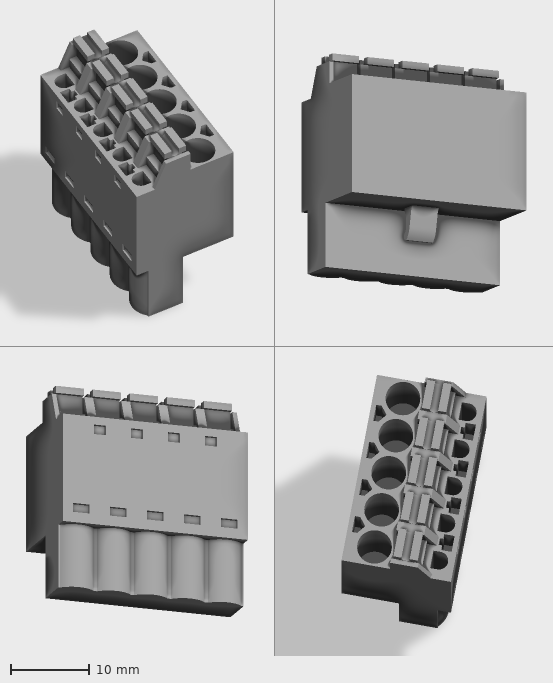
import cadquery as cq


pole_count = 5
pitch = 5.0
width = pole_count * pitch
pole_xs = [(i - (pole_count - 1) / 2) * pitch for i in range(pole_count)]
gap_xs = [(i - (pole_count - 2) / 2) * pitch for i in range(pole_count - 1)]

depth = 14.2
total_height = 27.73
front_height = 14.33
rear_height = 15.37
ridge_height = 18.23
ridge_foot_y = 2.63
ridge_front_y = 4.3
ridge_rear_y = 7.9

lever_width = 3.8
lever_top = 19.37
head_front_y = 4.42
head_rear_y = 7.58
head_underside = 18.44
neck_front_y = 4.97
neck_rear_y = 6.96
foot_front_y = 3.9
foot_rear_y = ridge_rear_y
foot_height = 15.8
screw_slot_width = 1.06
screw_slot_depth = 1.09
screw_slot_y = (head_front_y + head_rear_y) / 2

plug_length = total_height - lever_top
plug_rear_y = 6.76
plug_flat_y = 1.72
lobe_front_y = 0.74
lobe_width = 4.53

hook_width = lever_width
hook_root_front_y = 8.12
hook_root_rear_y = 10.39
hook_root_z = -0.25
hook_waist_y = 8.57
hook_waist_top_z = -1.15
hook_waist_bottom_z = -2.6
hook_tip_z = -4.2
hook_tip_front_y = 8.3
hook_tip_rear_y = 8.69
hook_throat_middle = (8.49, -2.93)
hook_throat_end = (8.25, -3.15)
hook_nose = (8.03, -3.62)
hook_back_curve_middle = (9.26, -3.5)
hook_back_curve_end = (9.61, -2.5)
hook_root_curve_start = (10.03, -0.62)
hook_root_curve_middle = (10.15, -0.3)

round_hole_diameter = 4.43
round_hole_y = 10.38
round_hole_depth = 10.0
wire_hole_width = 2.35
wire_hole_rear_y = 2.96
wire_hole_arc_y = 2.02
wire_hole_depth = 10.0
small_pocket_width = 2.14
small_pocket_depth = 5.0
test_slot_front_y = 0.65
test_slot_shoulder_y = 2.0
test_slot_rear_y = 2.44
test_slot_stem_width = 0.88
pentagon_tip_y = 12.05
pentagon_shoulder_y = 12.88
pentagon_rear_y = 13.58

window_depth = 0.5
upper_window_width = 1.6
upper_window_bottom = 12.02
upper_window_top = 13.28
lower_window_width = 2.25
lower_window_bottom = 1.36
lower_window_top = 2.54


def box(x_centre, x_size, y_range, z_range):
    """Box centred on x_centre, spanning the given Y and Z ranges."""
    size_y = y_range[1] - y_range[0]
    size_z = z_range[1] - z_range[0]
    solid = cq.Workplane("XY").box(x_size, size_y, size_z, centered=(True, False, False))
    return solid.translate((x_centre, y_range[0], z_range[0]))


def extrude_across(profile, x_centre, x_size):
    """Extrude a closed YZ profile along X, centred on x_centre."""
    return profile.extrude(x_size / 2, both=True).translate((x_centre, 0, 0))


def make_block():
    """Main block with the raised sloping ridge along its top."""
    profile = cq.Workplane("YZ").polyline([
        (0, 0),
        (depth, 0),
        (depth, rear_height),
        (ridge_rear_y, rear_height),
        (ridge_rear_y, ridge_height),
        (ridge_front_y, ridge_height),
        (ridge_foot_y, front_height),
        (0, front_height),
    ]).close()
    return extrude_across(profile, 0, width)


def make_plug():
    """Plug bar with one rounded lobe per pole on its front."""
    plug = box(0, width, (plug_flat_y, plug_rear_y), (-plug_length, 0))
    for x in pole_xs:
        lobe = (
            cq.Workplane("XY")
            .moveTo(x - lobe_width / 2, plug_flat_y)
            .threePointArc((x, lobe_front_y), (x + lobe_width / 2, plug_flat_y))
            .close()
            .extrude(-plug_length)
        )
        plug = plug.union(lobe)
    return plug


def make_hook():
    """Curved latch hook hanging behind the plug bar."""
    profile = (
        cq.Workplane("YZ")
        .moveTo(hook_root_front_y, 0)
        .lineTo(hook_root_front_y, hook_root_z)
        .lineTo(hook_waist_y, hook_waist_top_z)
        .lineTo(hook_waist_y, hook_waist_bottom_z)
        .threePointArc(hook_throat_middle, hook_throat_end)
        .threePointArc(hook_nose, (hook_tip_front_y, hook_tip_z))
        .lineTo(hook_tip_rear_y, hook_tip_z)
        .threePointArc(hook_back_curve_middle, hook_back_curve_end)
        .lineTo(*hook_root_curve_start)
        .threePointArc(hook_root_curve_middle, (hook_root_rear_y, 0))
        .close()
    )
    return extrude_across(profile, 0, hook_width)


def wire_hole(x):
    """Wire entry: square at the rear, half round at the front."""
    radius = wire_hole_width / 2
    return (
        cq.Workplane("XY", origin=(0, 0, front_height))
        .moveTo(x - radius, wire_hole_arc_y)
        .threePointArc((x, wire_hole_arc_y - radius), (x + radius, wire_hole_arc_y))
        .lineTo(x + radius, wire_hole_rear_y)
        .lineTo(x - radius, wire_hole_rear_y)
        .close()
        .extrude(-wire_hole_depth)
    )


def round_hole(x):
    """Large round opening behind the ridge."""
    return (
        cq.Workplane("XY", origin=(x, round_hole_y, rear_height))
        .circle(round_hole_diameter / 2)
        .extrude(-round_hole_depth)
    )


def test_slot(x):
    """T-shaped test slot in front of the ridge."""
    z_range = (front_height - small_pocket_depth, front_height)
    bar = box(x, small_pocket_width, (test_slot_front_y, test_slot_shoulder_y), z_range)
    stem = box(x, test_slot_stem_width, (test_slot_front_y, test_slot_rear_y), z_range)
    return bar.union(stem)


def pentagon_pocket(x):
    """Five-sided pocket near the rear edge, pointing forward."""
    half = small_pocket_width / 2
    return (
        cq.Workplane("XY", origin=(x, 0, rear_height))
        .polyline([
            (0, pentagon_tip_y),
            (half, pentagon_shoulder_y),
            (half, pentagon_rear_y),
            (-half, pentagon_rear_y),
            (-half, pentagon_shoulder_y),
        ])
        .close()
        .extrude(-small_pocket_depth)
    )


def front_window(x, window_width, bottom, top):
    """Shallow rectangular window in the front face."""
    return box(x, window_width, (0, window_depth), (bottom, top))


def make_housing():
    """Block, plug bar and hook in one solid, with all openings cut."""
    body = make_block().union(make_plug()).union(make_hook())
    for x in pole_xs:
        body = body.cut(box(x, lever_width, (0, foot_rear_y), (front_height, ridge_height)))
        body = body.cut(wire_hole(x))
        body = body.cut(round_hole(x))
        body = body.cut(front_window(x, lower_window_width, lower_window_bottom, lower_window_top))
    for x in gap_xs:
        body = body.cut(test_slot(x))
        body = body.cut(pentagon_pocket(x))
        body = body.cut(front_window(x, upper_window_width, upper_window_bottom, upper_window_top))
    return body


def make_lever(x):
    """Release lever: wide foot, narrower neck and a head with a round-bottomed slot."""
    slot_radius = screw_slot_width / 2
    slot_bottom = lever_top - screw_slot_depth
    slot_arc_z = slot_bottom + slot_radius
    profile = (
        cq.Workplane("YZ")
        .moveTo(foot_front_y, front_height)
        .lineTo(foot_rear_y, front_height)
        .lineTo(foot_rear_y, foot_height)
        .lineTo(neck_rear_y, foot_height)
        .lineTo(neck_rear_y, head_underside)
        .lineTo(head_rear_y, head_underside)
        .lineTo(head_rear_y, lever_top)
        .lineTo(screw_slot_y + slot_radius, lever_top)
        .lineTo(screw_slot_y + slot_radius, slot_arc_z)
        .threePointArc((screw_slot_y, slot_bottom), (screw_slot_y - slot_radius, slot_arc_z))
        .lineTo(screw_slot_y - slot_radius, lever_top)
        .lineTo(head_front_y, lever_top)
        .lineTo(head_front_y, head_underside)
        .lineTo(neck_front_y, head_underside)
        .lineTo(neck_front_y, foot_height)
        .lineTo(foot_front_y, foot_height)
        .close()
    )
    return extrude_across(profile, x, lever_width)


housing = make_housing()
levers = [make_lever(x) for x in pole_xs]

result = cq.Compound.makeCompound([housing.val(), *[lever.val() for lever in levers]])